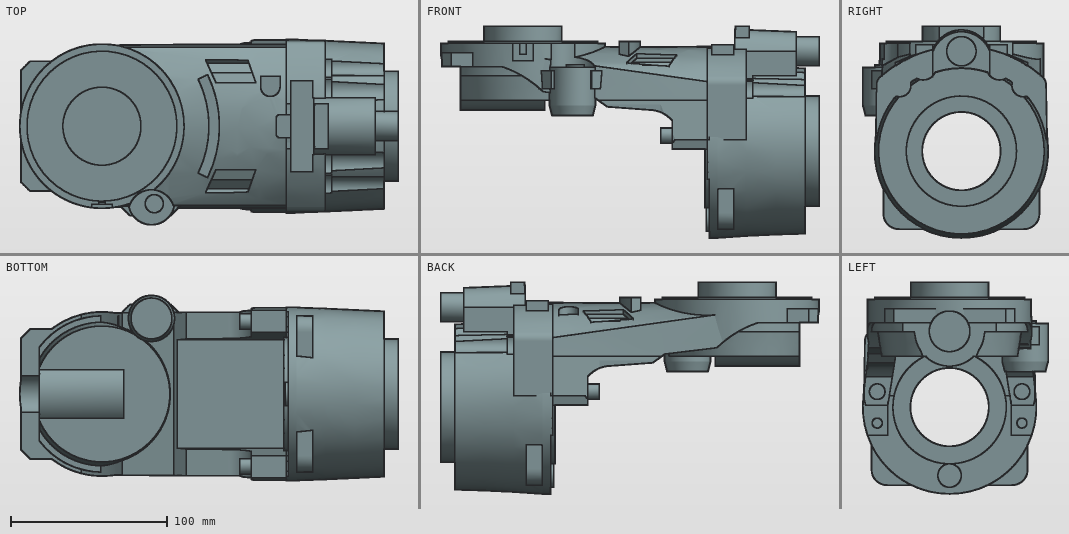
import cadquery as cq
import math


HEAD_R = 52.6
HEAD_TOP = 68.9
HEAD_BOTTOM = 54.0
SEAL_R = 48.0
SEAL_TOP = 70.3
SPIGOT_R = 25.0
SPIGOT_TOP = 79.96
NECK_R = 50.0
NECK_BOTTOM = 48.3
SUMP_TOP_R = 46.0
SUMP_BOTTOM_R = 43.5
SUMP_BOTTOM = 32.4
SUMP_FACE_X = -40.0

BARREL_Z = 48.5
BARREL_R = 22.3
BARREL_END_X = 14.0
BARREL_BORE_R = 13.0
BARREL_BORE_FLOOR_X = -36.0

TAB_X = -51.8
TAB_END_X = -31.0
TAB_HALF_WIDTH = 41.6
TAB_TOP = 63.0
TAB_BEVEL = 5.8

NOTCH_HALF_WIDTH = 6.5
NOTCH_BOTTOM = 57.8
NOTCH_DEPTH = 2.5
NOTCH_SLOT_WIDTH = 4.0
NOTCH_SLOT_BOTTOM = 62.0
NOTCH_SLOT_DEPTH = 4.0

FLANGE_X = 118.0
CREST_Z = 66.8
ARM_EDGE_Y = 50.6
ARM_HALF_WIDTH = 52.4
ARM_FLARE_HALF_WIDTH = 55.2
FLARE_START_X = 88.0
FLARE_END_X = 97.5
EDGE_Z_HEAD = 61.0
EDGE_Z_FLANGE = 44.5
ARM_UNDERSIDE = 32.4

CHEEK_X = 95.5
BELLY_START = (-31.0, 57.0)
BELLY_SWEEP = [(-11.0, 53.2), (0.0, 47.9), (13.0, 38.0)]
BELLY_LOW = (46.0, 34.0)
BELLY_STEP = (54.0, 28.3)
BELLY_END = (81.0, 26.3)
CHEEK_BEND_MID = (90.0, 24.0)
CHEEK_BEND_END = (CHEEK_X, 19.5)

CHEEK_BOTTOM = 1.3
CHEEK_INNER_TOP_Y = 34.6
CHEEK_INNER_BOTTOM_Y = 39.5
CHEEK_SIDE_BOTTOM = 7.4
CHEEK_RELIEF = 1.5

RIB_INNER_R = 68.5
RIB_OUTER_R = 75.2
RIB_HALF_ANGLE = 26.0
RIB_BOTTOM = 52.0
WINDOW_INNER_Y = 27.8
WINDOW_OUTER_Y = 42.5
WINDOW_INNER_X = (73.0, 98.5)
WINDOW_OUTER_X = (66.3, 93.3)
WINDOW_INNER_FLOOR = 59.5
WINDOW_BREAK_Y = 34.3
WINDOW_BREAK_FLOOR = 57.0
WINDOW_FLOOR_END_Y = 40.2
WINDOW_OUTER_FLOOR = 51.5
WINDOW_OUTER_RIM = 55.0
FLAT_X = (101.6, 114.0)
FLAT_OUTER_Y = 32.0
FLAT_SIDE_Y = 25.0
FLAT_INNER_Y = 19.0
FLAT_Z = 57.5

LUG_X = 31.7
LUG_R = 14.8
LUG_Y = -48.37
LUG_TOP = 53.6
LUG_RELIEF_Y = -55.5
LUG_BOTTOM = 22.7
LUG_CHAMFER_HEIGHT = 6.5
LUG_CHAMFER = 1.7
LUG_PIN_X = 33.5
LUG_PIN_Y = -49.6
LUG_PIN_R = 5.8
LUG_PIN_TOP = 55.2
LUG_WEB_X = (10.0, 52.0)
LUG_WEB_HALF_DEPTH = 9.0
LUG_WEB_BEVEL = 8.0
LUG_WEB_BOTTOM = 40.0
LUG_WEB_TOP = 51.5

GEAR_R = 55.6
GEAR_END_R = 53.0
DISC_X = 119.4
FLANGE_END_X = 142.9
TAPER_START_X = 124.6
GEAR_END_X = 180.6
COLLAR_END_X = 189.66
COLLAR_R = 35.3
BORE_R = 25.0
FACE_RING_R = 36.3
FACE_RING_X = 116.4
FLANGE_CREST_Z = 67.2
FLANGE_EDGE_Y = 54.2
FLANGE_CORNER_Z = 45.5
FLANGE_ROUND = 7.0
FLANGE_FOOT_Z = 7.4
FLANGE_FOOT_Y = 54.9

SCALLOP_INNER = (24.5, 54.0, 8.5)
SCALLOP_OUTER = (39.5, 42.0, 7.2)
RELIEF_DEPTH = 1.5
RELIEF_END_X = 147.2

PAD_BOTTOM = -18.0
PAD_INNER_Y = 39.5
PIN_Y = 46.3
PIN_Z = 9.9
PIN_R = 5.0
PIN_END_X = 88.2
PAD_HOLE_Z = -10.2
PAD_HOLE_R = 3.2
PAD_HOLE_DEPTH = 8.0

PLUG_R = 7.5
LOWER_PLUG_X = 117.2
LOWER_PLUG_Z = -43.8

FOOT_HALF_WIDTH = 50.0
FOOT_TOP = -24.0
FOOT_BOTTOM = -50.0
FOOT_ROUND = 10.0
FOOT_END_X = 134.8

MOTOR_X = 120.8
MOTOR_FRONT_X = 135.5
MOTOR_END_X = 175.0
MOTOR_HALF_WIDTH = 18.2
MOTOR_SHOULDER_Z = 63.9
MOTOR_CREST_Z = 78.0
MOTOR_END_CREST_Z = 76.4
MOTOR_BASE_Z = 45.0
SHAFT_R = 9.4
BRIDGE_HALF_WIDTH = 29.2
BRIDGE_TOP = 68.2
BRIDGE_BOTTOM = 61.0
BRIDGE_END_X = 135.0
CAP_X = (136.0, 145.0)
CAP_HALF_WIDTH = 14.3
CAP_BOTTOM = 72.5
SEAT_HALF_WIDTH = 14.5
SEAT_TOP = 66.5
SEAT_BOTTOM = 55.0
STOP_X = 111.5
STOP_HALF_WIDTH = 7.4
STOP_BEVEL = 1.5

CUT_CLEARANCE = 20.0


def box(x, y, z):
    """Box given by its (low, high) limits along each axis."""
    size = [high - low for low, high in (x, y, z)]
    return cq.Workplane("XY").box(*size, centered=False).translate((x[0], y[0], z[0]))


def rod_x(radius, x0, x1, y=0.0, z=0.0):
    """Cylinder along X."""
    return cq.Workplane("YZ", origin=(x0, y, z)).circle(radius).extrude(x1 - x0)


def disc_z(radius, z0, z1, x=0.0, y=0.0):
    """Cylinder along Z."""
    return cq.Workplane("XY", origin=(x, y, z0)).circle(radius).extrude(z1 - z0)


def arched_wire(x, half_base, base_z, half_edge, edge_z, crest_z, plane=None):
    """Closed YZ section with straight sides and an arched top."""
    wp = plane or cq.Workplane("YZ", origin=(x, 0, 0))
    return (
        wp.moveTo(-half_base, base_z)
        .lineTo(half_base, base_z)
        .lineTo(half_edge, edge_z)
        .threePointArc((0, crest_z), (-half_edge, edge_z))
        .close()
    )


def both_sides(solid):
    """The solid together with its mirror image across Y = 0."""
    return solid.union(solid.mirror("XZ"))


def make_arm():
    """Arched arm with two cheeks reaching down towards the gearbox."""
    section = arched_wire(0, ARM_HALF_WIDTH, ARM_UNDERSIDE, ARM_EDGE_Y, EDGE_Z_HEAD, CREST_Z)
    section = section.workplane(offset=FLANGE_X)
    arm = arched_wire(
        FLANGE_X, ARM_HALF_WIDTH, ARM_UNDERSIDE, ARM_EDGE_Y, EDGE_Z_FLANGE, CREST_Z, section
    ).loft(ruled=True)
    arm = arm.union(disc_z(HEAD_R, ARM_UNDERSIDE, NOTCH_BOTTOM))

    cheek = (
        cq.Workplane("YZ", origin=(BARREL_END_X, 0, 0))
        .moveTo(CHEEK_INNER_TOP_Y, ARM_UNDERSIDE)
        .lineTo(CHEEK_INNER_BOTTOM_Y, CHEEK_BOTTOM)
        .lineTo(ARM_FLARE_HALF_WIDTH - CHEEK_RELIEF, CHEEK_BOTTOM)
        .lineTo(ARM_FLARE_HALF_WIDTH, CHEEK_SIDE_BOTTOM)
        .lineTo(ARM_EDGE_Y, EDGE_Z_FLANGE)
        .lineTo(CHEEK_INNER_TOP_Y, EDGE_Z_FLANGE)
        .close()
        .extrude(FLANGE_X - BARREL_END_X)
    )
    arm = arm.union(both_sides(cheek))

    side = (
        cq.Workplane("XZ", origin=(0, HEAD_R + CUT_CLEARANCE, 0))
        .moveTo(-HEAD_R, BELLY_START[1])
        .lineTo(*BELLY_START)
        .spline(BELLY_SWEEP, includeCurrent=True)
        .lineTo(*BELLY_LOW)
        .lineTo(*BELLY_STEP)
        .lineTo(*BELLY_END)
        .threePointArc(CHEEK_BEND_MID, CHEEK_BEND_END)
        .lineTo(CHEEK_X, CHEEK_BOTTOM)
        .lineTo(FLANGE_X, CHEEK_BOTTOM)
        .lineTo(FLANGE_X, HEAD_TOP)
        .lineTo(-HEAD_R, HEAD_TOP)
        .close()
        .extrude(2 * (HEAD_R + CUT_CLEARANCE))
    )
    plan = (
        cq.Workplane("XY")
        .moveTo(0, -ARM_HALF_WIDTH)
        .lineTo(FLARE_START_X, -ARM_HALF_WIDTH)
        .lineTo(FLARE_END_X, -ARM_FLARE_HALF_WIDTH)
        .lineTo(FLANGE_X, -ARM_FLARE_HALF_WIDTH)
        .lineTo(FLANGE_X, ARM_FLARE_HALF_WIDTH)
        .lineTo(FLARE_END_X, ARM_FLARE_HALF_WIDTH)
        .lineTo(FLARE_START_X, ARM_HALF_WIDTH)
        .lineTo(0, ARM_HALF_WIDTH)
        .close()
        .extrude(HEAD_TOP)
        .union(disc_z(HEAD_R, 0, HEAD_TOP))
    )
    return arm.intersect(side).intersect(plan)


def make_head():
    """Round head with seal plate, spigot, sump and bearing barrel."""
    head = disc_z(HEAD_R, HEAD_BOTTOM, HEAD_TOP)
    head = head.union(disc_z(SEAL_R, HEAD_TOP, SEAL_TOP))
    head = head.union(disc_z(SPIGOT_R, SEAL_TOP, SPIGOT_TOP))

    sump = (
        cq.Workplane("XY", origin=(0, 0, SUMP_BOTTOM))
        .circle(SUMP_BOTTOM_R)
        .workplane(offset=NECK_BOTTOM - SUMP_BOTTOM)
        .circle(SUMP_TOP_R)
        .loft()
    )
    sump = sump.union(disc_z(NECK_R, NECK_BOTTOM, HEAD_BOTTOM))
    ahead = box((-HEAD_R, SUMP_FACE_X), (-HEAD_R, HEAD_R), (0, HEAD_BOTTOM))
    head = head.union(sump.cut(ahead))
    barrel = rod_x(BARREL_R, SUMP_FACE_X, BARREL_END_X, z=BARREL_Z)
    below_head = box((-HEAD_R, HEAD_R), (-HEAD_R, HEAD_R), (0, HEAD_BOTTOM))
    return head.union(barrel.intersect(below_head))


def make_tabs():
    """Bevelled mounting plate whose two ends stick out of the head."""
    tabs = box(
        (TAB_X, TAB_END_X), (-TAB_HALF_WIDTH, TAB_HALF_WIDTH), (HEAD_BOTTOM, TAB_TOP)
    )
    return tabs.edges("|Z and <X").chamfer(TAB_BEVEL)


def make_notch():
    """Cutter for the notch and its slot on the -Y side of the head."""
    notch = box(
        (-NOTCH_HALF_WIDTH, NOTCH_HALF_WIDTH),
        (-HEAD_R - CUT_CLEARANCE, -HEAD_R + NOTCH_DEPTH),
        (NOTCH_BOTTOM, HEAD_TOP),
    )
    slot = box(
        (-NOTCH_SLOT_WIDTH / 2, NOTCH_SLOT_WIDTH / 2),
        (-HEAD_R - CUT_CLEARANCE, -HEAD_R + NOTCH_SLOT_DEPTH),
        (NOTCH_SLOT_BOTTOM, HEAD_TOP),
    )
    return notch.union(slot)


def make_rib():
    """Curved rib on the arm, concentric with the head."""
    angle = math.radians(RIB_HALF_ANGLE)
    cos_a = math.cos(angle)
    sin_a = math.sin(angle)
    return (
        cq.Workplane("XY", origin=(0, 0, RIB_BOTTOM))
        .moveTo(RIB_INNER_R * cos_a, -RIB_INNER_R * sin_a)
        .threePointArc((RIB_INNER_R, 0), (RIB_INNER_R * cos_a, RIB_INNER_R * sin_a))
        .lineTo(RIB_OUTER_R * cos_a, RIB_OUTER_R * sin_a)
        .threePointArc((RIB_OUTER_R, 0), (RIB_OUTER_R * cos_a, -RIB_OUTER_R * sin_a))
        .close()
        .extrude(SEAL_TOP - RIB_BOTTOM)
    )


def make_windows():
    """Cutter for the two slanted recesses in the arched top of the arm."""
    outline = (
        cq.Workplane("XY")
        .polyline(
            [
                (WINDOW_OUTER_X[0], WINDOW_OUTER_Y),
                (WINDOW_OUTER_X[1], WINDOW_OUTER_Y),
                (WINDOW_INNER_X[1], WINDOW_INNER_Y),
                (WINDOW_INNER_X[0], WINDOW_INNER_Y),
            ]
        )
        .close()
        .extrude(SPIGOT_TOP)
    )
    above_floor = (
        cq.Workplane("YZ")
        .polyline(
            [
                (WINDOW_INNER_Y, WINDOW_INNER_FLOOR),
                (WINDOW_BREAK_Y, WINDOW_BREAK_FLOOR),
                (WINDOW_FLOOR_END_Y, WINDOW_OUTER_FLOOR),
                (WINDOW_OUTER_Y, WINDOW_OUTER_RIM),
                (WINDOW_OUTER_Y, SPIGOT_TOP),
                (WINDOW_INNER_Y, SPIGOT_TOP),
            ]
        )
        .close()
        .extrude(FLANGE_X)
    )
    return both_sides(outline.intersect(above_floor))


def make_flat():
    """Cutter for the D-shaped flat on the +Y slope of the arm."""
    mid_x = sum(FLAT_X) / 2
    return (
        cq.Workplane("XY", origin=(0, 0, FLAT_Z))
        .moveTo(FLAT_X[0], FLAT_OUTER_Y)
        .lineTo(FLAT_X[1], FLAT_OUTER_Y)
        .lineTo(FLAT_X[1], FLAT_SIDE_Y)
        .threePointArc((mid_x, FLAT_INNER_Y), (FLAT_X[0], FLAT_SIDE_Y))
        .close()
        .extrude(CUT_CLEARANCE)
    )


def make_lug():
    """Clamp lug with webs to the head and arm, and a pin on top."""
    lug = disc_z(LUG_R, LUG_BOTTOM, LUG_TOP, LUG_X, LUG_Y)
    lug = lug.faces("<Z").chamfer(LUG_CHAMFER_HEIGHT, LUG_CHAMFER)
    web = box(
        LUG_WEB_X,
        (LUG_Y - LUG_WEB_HALF_DEPTH, LUG_Y + LUG_WEB_HALF_DEPTH),
        (LUG_WEB_BOTTOM, LUG_WEB_TOP),
    )
    web = web.edges("|Z and <Y").chamfer(LUG_WEB_BEVEL)
    pin = disc_z(LUG_PIN_R, LUG_WEB_BOTTOM, LUG_PIN_TOP, LUG_PIN_X, LUG_PIN_Y)
    return lug.union(web).union(pin)


def make_flange():
    """Arched flange over a round disc, with face ring and bored pads."""
    arch = arched_wire(
        FLANGE_X, FLANGE_FOOT_Y, FLANGE_FOOT_Z, FLANGE_EDGE_Y, FLANGE_CORNER_Z, FLANGE_CREST_Z
    ).extrude(FLANGE_END_X - FLANGE_X)
    arch = arch.edges("|X").edges(">Z").fillet(FLANGE_ROUND)
    flange = arch.union(rod_x(GEAR_R, DISC_X, TAPER_START_X))
    flange = flange.union(rod_x(FACE_RING_R, FACE_RING_X, DISC_X))

    pad = box((FLANGE_X, DISC_X), (PAD_INNER_Y, GEAR_R), (PAD_BOTTOM, FLANGE_FOOT_Z))
    pad = pad.intersect(rod_x(GEAR_R, FLANGE_X, DISC_X))
    flange = flange.union(both_sides(pad))
    hole = rod_x(PAD_HOLE_R, FLANGE_X, FLANGE_X + PAD_HOLE_DEPTH, PIN_Y, PAD_HOLE_Z)
    return flange.cut(both_sides(hole))


def make_feet():
    """Two rounded feet, formed by one plate behind the flange disc."""
    feet = box(
        (TAPER_START_X, FOOT_END_X),
        (-FOOT_HALF_WIDTH, FOOT_HALF_WIDTH),
        (FOOT_BOTTOM, FOOT_TOP),
    )
    return feet.edges("|X and <Z").fillet(FOOT_ROUND)


def make_gearbox():
    """Tapered round gearbox with scalloped shoulders and an output collar."""
    gearbox = (
        cq.Workplane("YZ", origin=(TAPER_START_X, 0, 0))
        .circle(GEAR_R)
        .workplane(offset=GEAR_END_X - TAPER_START_X)
        .circle(GEAR_END_R)
        .loft()
    )
    for y, z, radius in (SCALLOP_INNER, SCALLOP_OUTER):
        scallop = rod_x(radius, FLANGE_END_X, GEAR_END_X, y, z)
        relief = rod_x(radius + RELIEF_DEPTH, FLANGE_END_X, RELIEF_END_X, y, z)
        gearbox = gearbox.cut(both_sides(scallop)).cut(both_sides(relief))
    return gearbox.union(rod_x(COLLAR_R, GEAR_END_X, COLLAR_END_X))


def make_motor():
    """Motor housing with round top, shaft stub, bridge plate and cap."""
    half = MOTOR_HALF_WIDTH
    front = arched_wire(
        MOTOR_FRONT_X, half, MOTOR_BASE_Z, half, MOTOR_SHOULDER_Z, MOTOR_CREST_Z
    ).workplane(offset=MOTOR_END_X - MOTOR_FRONT_X)
    motor = arched_wire(
        MOTOR_END_X, half, MOTOR_BASE_Z, half, MOTOR_SHOULDER_Z, MOTOR_END_CREST_Z, front
    ).loft(ruled=True)
    motor = motor.union(rod_x(SHAFT_R, MOTOR_FRONT_X, COLLAR_END_X, z=MOTOR_SHOULDER_Z))

    blocks = (
        ((MOTOR_X, BRIDGE_END_X), BRIDGE_HALF_WIDTH, (BRIDGE_BOTTOM, BRIDGE_TOP)),
        ((MOTOR_X, MOTOR_FRONT_X), half, (SEAT_BOTTOM, BRIDGE_TOP)),
        (CAP_X, CAP_HALF_WIDTH, (CAP_BOTTOM, SPIGOT_TOP)),
        ((FLANGE_X, MOTOR_X), SEAT_HALF_WIDTH, (SEAT_BOTTOM, SEAT_TOP)),
    )
    for x, half_width, z in blocks:
        motor = motor.union(box(x, (-half_width, half_width), z))
    stop = box((STOP_X, MOTOR_X), (-STOP_HALF_WIDTH, STOP_HALF_WIDTH), (SEAT_BOTTOM, FLANGE_CREST_Z))
    return motor.union(stop.edges("|Z and <X").chamfer(STOP_BEVEL))


arm_body = make_arm().cut(make_windows()).cut(make_flat())
result = arm_body.union(make_head()).union(make_tabs()).cut(make_notch())
result = result.cut(disc_z(LUG_R, LUG_TOP, SEAL_TOP, LUG_X, LUG_RELIEF_Y))
result = result.union(make_rib()).union(make_lug())
result = result.union(make_flange()).union(make_gearbox()).union(make_motor())
result = result.union(make_feet())
result = result.union(both_sides(rod_x(PIN_R, PIN_END_X, FLANGE_X, PIN_Y, PIN_Z)))
result = result.union(rod_x(PLUG_R, LOWER_PLUG_X, TAPER_START_X, z=LOWER_PLUG_Z))
result = result.cut(rod_x(BARREL_BORE_R, -HEAD_R, BARREL_BORE_FLOOR_X, z=BARREL_Z))
result = result.cut(rod_x(BORE_R, FACE_RING_X, COLLAR_END_X))